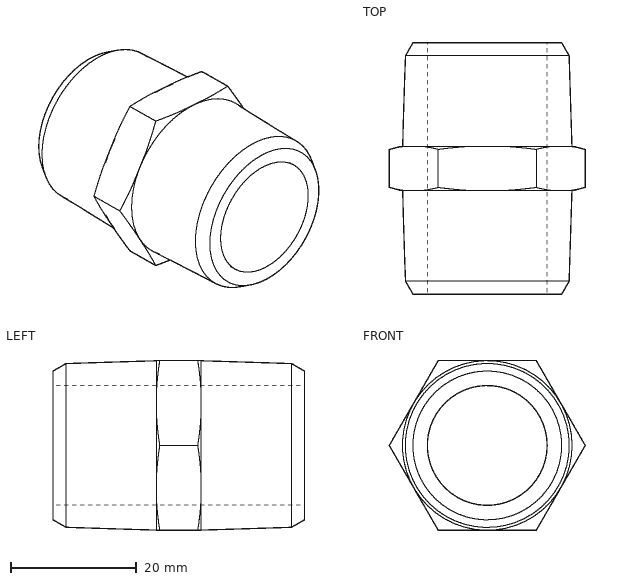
import cadquery as cq
import math

length = 40.0
hex_flats = 27.0
hex_width = 7.0
bore_diameter = 19.0

taper_ratio = 1 / 16
root_diameter = 26.95
end_chamfer_length = 2.1
end_chamfer_angle = 30.0

hex_face_diameter = 27.6
hex_chamfer_angle = 15.0

hex_corners = hex_flats / math.cos(math.radians(30))
half_length = length / 2
half_hex = hex_width / 2


def revolve_about_y(points):
    """Revolve a closed (radius, y) outline about the Y axis."""
    return cq.Workplane("XY").polyline(points).close().revolve(360, (0, 0), (0, 1))


def make_hexagon():
    """Hexagon with corners on +X and -X, its corners cut back by a cone on both faces."""
    prism = (
        cq.Workplane("XZ")
        .polygon(6, hex_corners)
        .extrude(half_hex, both=True)
    )
    face_radius = hex_face_diameter / 2
    corner_radius = hex_corners / 2
    drop = (corner_radius - face_radius) * math.tan(math.radians(hex_chamfer_angle))
    envelope = revolve_about_y([
        (0, -half_hex),
        (face_radius, -half_hex),
        (corner_radius, -half_hex + drop),
        (corner_radius, half_hex - drop),
        (face_radius, half_hex),
        (0, half_hex),
    ])
    return prism.intersect(envelope)


def make_pipe_end():
    """Tapered, chamfered end on the +Y side, starting at the middle of the hexagon."""
    chamfer_start = half_length - end_chamfer_length
    root_radius = root_diameter / 2
    chamfer_radius = root_radius - (chamfer_start - half_hex) * taper_ratio / 2
    tip_radius = chamfer_radius - end_chamfer_length * math.tan(math.radians(end_chamfer_angle))
    inner_radius = bore_diameter / 2
    return revolve_about_y([
        (0, 0),
        (inner_radius, 0),
        (root_radius, half_hex),
        (chamfer_radius, chamfer_start),
        (tip_radius, half_length),
        (0, half_length),
    ])


pipe_end = make_pipe_end()
bore = cq.Workplane("XZ").circle(bore_diameter / 2).extrude(half_length, both=True)

result = make_hexagon().union(pipe_end).union(pipe_end.mirror("XZ")).cut(bore)